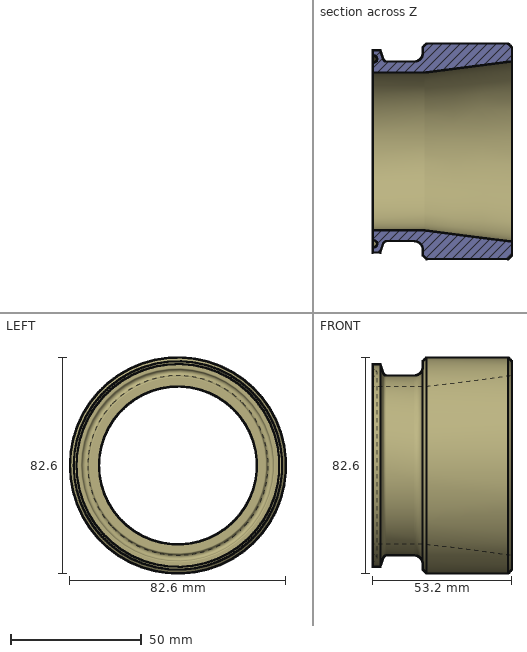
import cadquery as cq
import math

length = 53.2
body_radius = 41.3
body_start = 19.1
body_chamfer = 1.5

flange_radius = 77.4 / 2
flange_rim = 2.9
flange_back_angle = math.radians(19)
neck_radius = 68.8 / 2
flange_fillet = 1.15
body_fillet = 3.2

bore_radius = 60.2 / 2
flare_start = 19.8
flare_end_radius = neck_radius

groove_middle_radius = 35.3
groove_wall_angle = math.radians(20)
groove_floor_arc = 1.2
groove_lip_arc = 0.5
groove_wall_depth = 0.5


def arc_point(center, radius, angle):
    """Point on an arc in the (x, r) half plane, angle measured from +X."""
    return center[0] + radius * math.cos(angle), center[1] + radius * math.sin(angle)


def revolve_about_x(profile):
    return profile.close().revolve(360, (0, 0, 0), (1, 0, 0))


def make_outside():
    fillet_r = neck_radius + flange_fillet
    tangent_r = fillet_r - flange_fillet * math.sin(flange_back_angle)
    tangent_x = flange_rim + (flange_radius - tangent_r) * math.tan(flange_back_angle)
    fillet_x = tangent_x + flange_fillet * math.cos(flange_back_angle)
    arc_start_angle = math.pi + flange_back_angle
    arc_end_angle = 3 * math.pi / 2
    fillet_mid_angle = (arc_start_angle + arc_end_angle) / 2
    flange_fillet_mid = arc_point((fillet_x, fillet_r), flange_fillet, fillet_mid_angle)

    body_fillet_center = (body_start - body_fillet, neck_radius + body_fillet)
    body_fillet_mid = arc_point(body_fillet_center, body_fillet, -math.pi / 4)

    return revolve_about_x(
        cq.Workplane("XY")
        .moveTo(0, 0)
        .lineTo(0, flange_radius)
        .lineTo(flange_rim, flange_radius)
        .lineTo(tangent_x, tangent_r)
        .threePointArc(flange_fillet_mid, (fillet_x, neck_radius))
        .lineTo(body_fillet_center[0], neck_radius)
        .threePointArc(body_fillet_mid, (body_start, body_fillet_center[1]))
        .lineTo(body_start, body_radius - body_chamfer)
        .lineTo(body_start + body_chamfer, body_radius)
        .lineTo(length - body_chamfer, body_radius)
        .lineTo(length, body_radius - body_chamfer)
        .lineTo(length, 0)
    )


def make_bore():
    return revolve_about_x(
        cq.Workplane("XY")
        .moveTo(0, 0)
        .lineTo(0, bore_radius)
        .lineTo(flare_start, bore_radius)
        .lineTo(length, flare_end_radius)
        .lineTo(length, 0)
    )


def make_gasket_groove():
    turn = math.pi / 2 - groove_wall_angle
    lip_width = groove_lip_arc * math.sin(turn)
    lip_depth = groove_lip_arc * (1 - math.cos(turn))
    floor_half = groove_floor_arc * math.sin(turn)
    floor_depth = groove_floor_arc * (1 - math.cos(turn))
    wall_half = floor_half + groove_wall_depth * math.tan(groove_wall_angle)
    mouth_half = wall_half + lip_width
    wall_end_depth = lip_depth + groove_wall_depth
    lip_mid_half = mouth_half - groove_lip_arc * math.sin(turn / 2)
    lip_mid_depth = groove_lip_arc * (1 - math.cos(turn / 2))

    def at(depth, offset):
        return depth, groove_middle_radius + offset

    return revolve_about_x(
        cq.Workplane("XY")
        .moveTo(*at(0, mouth_half))
        .threePointArc(at(lip_mid_depth, lip_mid_half), at(lip_depth, wall_half))
        .lineTo(*at(wall_end_depth, floor_half))
        .threePointArc(at(wall_end_depth + floor_depth, 0), at(wall_end_depth, -floor_half))
        .lineTo(*at(lip_depth, -wall_half))
        .threePointArc(at(lip_mid_depth, -lip_mid_half), at(0, -mouth_half))
    )


result = make_outside().cut(make_bore()).cut(make_gasket_groove())